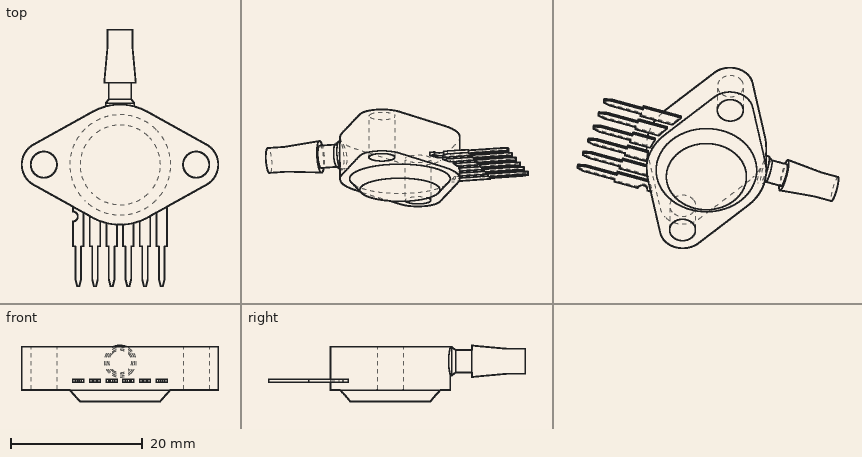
import cadquery as cq
import math

overall_length = 38.95

body_length = 29.83
body_height = 6.6
body_half_width = 9.1
ear_radius = 3.5
crown_radius = 8.55
ear_x = body_length / 2 - ear_radius
crown_y = body_half_width - crown_radius

hole_diameter = 3.95
hole_spacing = 23.1

boss_height = 1.75
boss_top_radius = 7.65
boss_bottom_radius = 6.07

port_z = 4.35
collar_radius = 2.2
collar_end = 9.3
neck_radius = 1.7
neck_start = 9.93
barb_radius = 2.4
barb_start = 12.4
tip_radius = 1.9
tip_start = 17.87
port_end = 20.5

pin_count = 6
pin_pitch = 2.55
pin_thickness = 0.45
pin_z = 1.4
pin_wide = 1.65
pin_narrow = 0.9
pin_tip = 0.35
pin_root_y = -3.9
pin_shoulder_y = -12.4
pin_taper_y = -17.35
pin_end_y = port_end - overall_length
notch_radius = 0.75
notch_y = -7.85


def make_body():
    """Flange whose straight sides are tangent to the ear and crown arcs, with two holes."""
    centre_distance = math.hypot(ear_x, crown_y)
    normal_angle = math.asin((crown_radius - ear_radius) / centre_distance) + math.atan2(crown_y, ear_x)
    normal_x = math.sin(normal_angle)
    normal_y = math.cos(normal_angle)
    ear_tangent_x = ear_x + ear_radius * normal_x
    ear_tangent_y = ear_radius * normal_y
    crown_tangent_x = crown_radius * normal_x
    crown_tangent_y = crown_y + crown_radius * normal_y

    body = (
        cq.Workplane("XY")
        .moveTo(ear_tangent_x, -ear_tangent_y)
        .threePointArc((body_length / 2, 0), (ear_tangent_x, ear_tangent_y))
        .lineTo(crown_tangent_x, crown_tangent_y)
        .threePointArc((0, body_half_width), (-crown_tangent_x, crown_tangent_y))
        .lineTo(-ear_tangent_x, ear_tangent_y)
        .threePointArc((-body_length / 2, 0), (-ear_tangent_x, -ear_tangent_y))
        .lineTo(-crown_tangent_x, -crown_tangent_y)
        .threePointArc((0, -body_half_width), (crown_tangent_x, -crown_tangent_y))
        .close()
        .extrude(body_height)
    )
    holes = (
        cq.Workplane("XY")
        .pushPoints([(-hole_spacing / 2, 0), (hole_spacing / 2, 0)])
        .circle(hole_diameter / 2)
        .extrude(body_height)
    )
    return body.cut(holes)


def make_boss():
    """Cone frustum that narrows downward from the bottom face."""
    return (
        cq.Workplane("XZ")
        .polyline([
            (0, 0),
            (boss_top_radius, 0),
            (boss_bottom_radius, -boss_height),
            (0, -boss_height),
        ])
        .close()
        .revolve(360, (0, 0), (0, 1))
    )


def make_port():
    """Solid of revolution about the port axis, with its inner end buried in the body."""
    return (
        cq.Workplane("XY")
        .workplane(offset=port_z)
        .polyline([
            (0, crown_y),
            (collar_radius, crown_y),
            (collar_radius, collar_end),
            (neck_radius, neck_start),
            (neck_radius, barb_start),
            (barb_radius, barb_start),
            (tip_radius, tip_start),
            (tip_radius, port_end),
            (0, port_end),
        ])
        .close()
        .revolve(360, (0, 0), (0, 1))
    )


def make_pin(x):
    """Flat stepped pin with a tapered end, centred on the given X."""
    right_side = [
        (pin_wide / 2, pin_root_y),
        (pin_wide / 2, pin_shoulder_y),
        (pin_narrow / 2, pin_shoulder_y),
        (pin_narrow / 2, pin_taper_y),
        (pin_tip / 2, pin_end_y),
    ]
    left_side = [(-px, py) for px, py in reversed(right_side)]
    return (
        cq.Workplane("XY")
        .workplane(offset=pin_z - pin_thickness / 2)
        .polyline(right_side + left_side)
        .close()
        .extrude(pin_thickness)
        .translate((x, 0, 0))
    )


def make_notch(first_pin_x):
    """Round cutter on the outer edge of the first pin."""
    return (
        cq.Workplane("XY")
        .workplane(offset=pin_z - pin_thickness / 2)
        .center(first_pin_x - pin_wide / 2, notch_y)
        .circle(notch_radius)
        .extrude(pin_thickness)
    )


pin_positions = [(i - (pin_count - 1) / 2) * pin_pitch for i in range(pin_count)]

first_pin = make_pin(pin_positions[0]).cut(make_notch(pin_positions[0]))

result = make_body().union(make_boss()).union(make_port()).union(first_pin)
for pin_x in pin_positions[1:]:
    result = result.union(make_pin(pin_x))